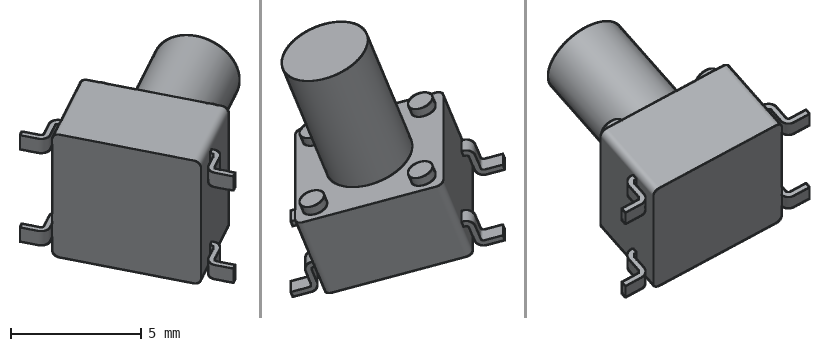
import cadquery as cq

body_side = 6.0
corner_radius = 0.3
body_height = 3.58
button_diameter = 3.5
button_top = 8.97
stud_diameter = 1.0
stud_top = 3.97
stud_offset = 2.2

lead_span = 8.6
lead_width = 0.7
lead_offset = 2.25
lead_thickness = 0.25
lead_top = 1.37
wall_gap = 0.19
inner_bend_radius = 0.12
outer_bend_radius = inner_bend_radius + lead_thickness
lead_embed = 0.09


def pin(x, z, diameter, top):
    """Cylinder along Y running from the base through the body."""
    base_center = cq.Vector(x, 0, z)
    return cq.Workplane(cq.Solid.makeCylinder(diameter / 2, top, base_center, cq.Vector(0, 1, 0)))


def gull_wing_lead(z_center):
    """Lead leaving the +X wall, bent down to a foot level with the base."""
    wall = body_side / 2
    root = wall - lead_embed
    inner_face = wall + wall_gap
    outer_face = inner_face + lead_thickness
    tip = lead_span / 2
    upper_bend_x = inner_face - inner_bend_radius
    lower_bend_x = outer_face + inner_bend_radius
    upper_bend_y = lead_top - outer_bend_radius
    lower_bend_y = outer_bend_radius
    profile = (
        cq.Workplane("XY")
        .moveTo(root, lead_top)
        .lineTo(upper_bend_x, lead_top)
        .radiusArc((outer_face, upper_bend_y), outer_bend_radius)
        .lineTo(outer_face, lower_bend_y)
        .radiusArc((lower_bend_x, lead_thickness), -inner_bend_radius)
        .lineTo(tip, lead_thickness)
        .lineTo(tip, 0)
        .lineTo(lower_bend_x, 0)
        .radiusArc((inner_face, lower_bend_y), outer_bend_radius)
        .lineTo(inner_face, upper_bend_y)
        .radiusArc((upper_bend_x, lead_top - lead_thickness), -inner_bend_radius)
        .lineTo(root, lead_top - lead_thickness)
        .close()
    )
    return profile.extrude(lead_width / 2, both=True).translate((0, 0, z_center))


body = cq.Workplane("XY").box(body_side, body_height, body_side).edges("|Y").fillet(corner_radius)
result = body.translate((0, body_height / 2, 0))

result = result.union(pin(0, 0, button_diameter, button_top))

for z_sign in (-1, 1):
    lead = gull_wing_lead(z_sign * lead_offset)
    result = result.union(lead).union(lead.mirror("YZ"))
    for x_sign in (-1, 1):
        result = result.union(pin(x_sign * stud_offset, z_sign * stud_offset, stud_diameter, stud_top))

result = result.clean()